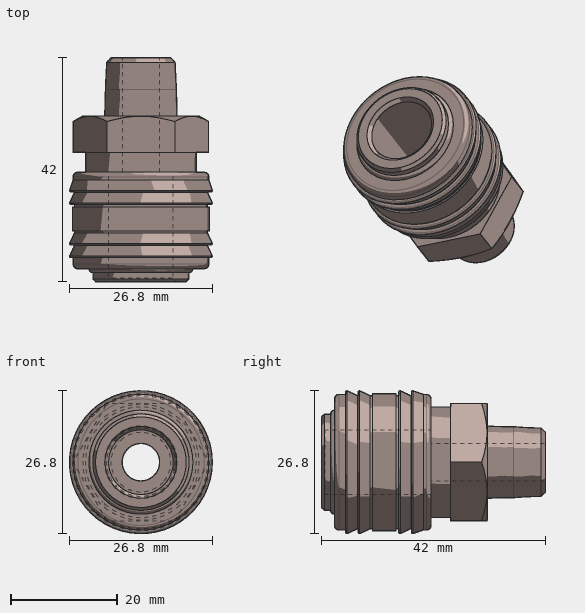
import cadquery as cq
import math

length = 42.0

nose_radius = 9.05
nose_chamfer = 0.55
collar_radius = 9.75
collar_round = collar_radius - nose_radius

sleeve_radius = 12.73
sleeve_front = 2.45
sleeve_back = 20.55
sleeve_round = 0.9
groove_radius = 12.47
band_radius = 12.85
band_front = 9.55
band_back = 14.0

rib_radius = 13.4
rib_tip_round = 0.3
rib_slope_length = 1.97
rib_fronts = [4.55, 6.9, 14.5, 16.85]

neck_radius = 10.37
hex_front = 24.25
hex_back = 31.1
hex_across_flats = 22.0
hex_crown_radius = 10.88
hex_crown_angle = 30.0
stud_base_radius = 6.8
stud_gauge_radius = 6.68
stud_gauge_position = 36.05
stud_end_radius = 6.43
stud_tip_radius = 5.6
stud_chamfer = 0.9

socket_radius = 6.05
socket_mouth_radius = 6.7
socket_chamfer = socket_mouth_radius - socket_radius
socket_depth = sleeve_back
passage_radius = 3.5


def revolve_about_y(profile):
    return profile.close().revolve(360, (0, 0, 0), (0, 1, 0))


def cylinder(radius, front, back):
    return cq.Workplane("XZ", origin=(0, front, 0)).circle(radius).extrude(front - back)


def make_nose():
    nose = cylinder(nose_radius, 0, sleeve_front).faces("<Y").chamfer(nose_chamfer)
    collar_front = sleeve_front - collar_round
    arc_offset = collar_round * (1 - math.sqrt(0.5))
    collar = revolve_about_y(
        cq.Workplane("XY")
        .moveTo(0, collar_front)
        .lineTo(nose_radius, collar_front)
        .threePointArc((collar_radius - arc_offset, collar_front + arc_offset), (collar_radius, sleeve_front))
        .lineTo(0, sleeve_front)
    )
    return nose.union(collar)


def make_rib(front, root_radius):
    tip_back = front + rib_tip_round
    arc_offset = rib_tip_round * (1 - math.sqrt(0.5))
    profile = (
        cq.Workplane("XY")
        .moveTo(0, front)
        .lineTo(rib_radius - rib_tip_round, front)
        .threePointArc((rib_radius - arc_offset, front + arc_offset), (rib_radius, tip_back))
        .lineTo(root_radius, tip_back + rib_slope_length)
        .lineTo(0, tip_back + rib_slope_length)
    )
    return revolve_about_y(profile)


def make_sleeve():
    front_ring = cylinder(sleeve_radius, sleeve_front, rib_fronts[0] + rib_tip_round)
    back_ring = cylinder(sleeve_radius, rib_fronts[-1] + rib_tip_round + rib_slope_length, sleeve_back)
    sleeve = cylinder(groove_radius, rib_fronts[0], rib_fronts[-1] + rib_tip_round)
    sleeve = sleeve.union(front_ring.faces("<Y").edges().fillet(sleeve_round))
    sleeve = sleeve.union(back_ring.faces(">Y").edges().fillet(sleeve_round))
    sleeve = sleeve.union(cylinder(band_radius, band_front, band_back))
    for front in rib_fronts:
        root_radius = sleeve_radius if front == rib_fronts[-1] else groove_radius
        sleeve = sleeve.union(make_rib(front, root_radius))
    return sleeve


def make_hexagon():
    corner_diameter = hex_across_flats / math.cos(math.radians(30))
    prism = (
        cq.Workplane("XZ", origin=(0, hex_front, 0))
        .polygon(6, corner_diameter)
        .extrude(hex_front - hex_back)
    )
    cone_base_radius = hex_crown_radius + (hex_back - hex_front) / math.tan(math.radians(hex_crown_angle))
    cone = revolve_about_y(
        cq.Workplane("XY")
        .moveTo(0, hex_front)
        .lineTo(cone_base_radius, hex_front)
        .lineTo(hex_crown_radius, hex_back)
        .lineTo(0, hex_back)
    )
    return prism.intersect(cone)


def make_stud():
    return revolve_about_y(
        cq.Workplane("XY")
        .moveTo(0, hex_back)
        .lineTo(stud_base_radius, hex_back)
        .lineTo(stud_gauge_radius, stud_gauge_position)
        .lineTo(stud_end_radius, length - stud_chamfer)
        .lineTo(stud_tip_radius, length)
        .lineTo(0, length)
    )


def make_bores():
    socket = revolve_about_y(
        cq.Workplane("XY")
        .lineTo(socket_mouth_radius, 0)
        .lineTo(socket_radius, socket_chamfer)
        .lineTo(socket_radius, socket_depth)
        .lineTo(0, socket_depth)
    )
    return socket.union(cylinder(passage_radius, 0, length))


body = make_nose().union(make_sleeve())
body = body.union(cylinder(neck_radius, sleeve_back, hex_front))
body = body.union(make_hexagon()).union(make_stud())
result = body.cut(make_bores())